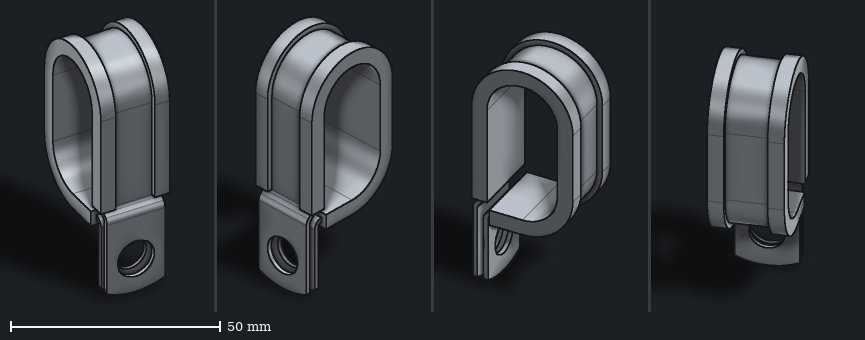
import cadquery as cq
import math


cushion_width = 18.95
cushion_thickness = 4.25
loop_radius = 13.8
straight_height = 19.0
foot_end_x = 8.95
leg_end_z = -7.6
groove_width = 10.8

strap_width = 16.0
strap_thickness = 1.25
cover = (cushion_thickness - strap_thickness) / 2
strap_outer_radius = loop_radius - cover
strap_inner_radius = strap_outer_radius - strap_thickness

overall_height = 65.3
tab_bottom_z = straight_height + loop_radius - overall_height
inner_tab_x = 11.3
outer_tab_x = 14.2
bend_outer_radius = inner_tab_x - foot_end_x
bend_inner_radius = bend_outer_radius - strap_thickness
jog_angle = math.radians(45)
overlap = 0.65
inner_hole_diameter = 8.8
outer_hole_diameter = 10.0
tab_hole_height = 9.4
tip_rise = 1.7


def loop_band(outer_radius, inner_radius, width):
    """Band around the loop, from the end of the foot to the end of the leg."""
    diagonal = math.sqrt(0.5)
    return (
        cq.Workplane("XZ")
        .moveTo(foot_end_x, -outer_radius)
        .lineTo(0, -outer_radius)
        .threePointArc((-outer_radius * diagonal, -outer_radius * diagonal), (-outer_radius, 0))
        .lineTo(-outer_radius, straight_height)
        .threePointArc((0, straight_height + outer_radius), (outer_radius, straight_height))
        .lineTo(outer_radius, leg_end_z)
        .lineTo(inner_radius, leg_end_z)
        .lineTo(inner_radius, straight_height)
        .threePointArc((0, straight_height + inner_radius), (-inner_radius, straight_height))
        .lineTo(-inner_radius, 0)
        .threePointArc((-inner_radius * diagonal, -inner_radius * diagonal), (0, -inner_radius))
        .lineTo(foot_end_x, -inner_radius)
        .close()
        .extrude(width / 2, both=True)
    )


def inner_tab():
    """Strap end that leaves the foot and bends straight down."""
    bend_z = -strap_inner_radius - bend_outer_radius
    return (
        cq.Workplane("XZ")
        .moveTo(foot_end_x - overlap, -strap_outer_radius)
        .lineTo(foot_end_x - overlap, -strap_inner_radius)
        .lineTo(foot_end_x, -strap_inner_radius)
        .tangentArcPoint((inner_tab_x, bend_z), relative=False)
        .lineTo(inner_tab_x, tab_bottom_z)
        .lineTo(inner_tab_x - strap_thickness, tab_bottom_z)
        .lineTo(inner_tab_x - strap_thickness, bend_z)
        .tangentArcPoint((foot_end_x, bend_z + bend_inner_radius), relative=False)
        .close()
        .extrude(strap_width / 2, both=True)
    )


def outer_tab():
    """Strap end that leaves the leg, jogs outward on a slope and runs down."""
    inner_dx = bend_inner_radius * (1 - math.cos(jog_angle))
    inner_dz = bend_inner_radius * math.sin(jog_angle)
    outer_dx = bend_outer_radius * (1 - math.cos(jog_angle))
    outer_dz = bend_outer_radius * math.sin(jog_angle)
    shift = outer_tab_x - strap_outer_radius
    slope_height = (shift - inner_dx - outer_dx) / math.tan(jog_angle)
    jog_end_z = leg_end_z - inner_dz - slope_height - outer_dz
    left_x = outer_tab_x - strap_thickness
    return (
        cq.Workplane("XZ")
        .moveTo(left_x, tab_bottom_z)
        .lineTo(left_x, jog_end_z)
        .tangentArcPoint((left_x - inner_dx, jog_end_z + inner_dz), relative=False)
        .lineTo(strap_inner_radius + outer_dx, leg_end_z - outer_dz)
        .tangentArcPoint((strap_inner_radius, leg_end_z), relative=False)
        .lineTo(strap_inner_radius, leg_end_z + overlap)
        .lineTo(strap_outer_radius, leg_end_z + overlap)
        .lineTo(strap_outer_radius, leg_end_z)
        .tangentArcPoint((strap_outer_radius + inner_dx, leg_end_z - inner_dz), relative=False)
        .lineTo(outer_tab_x - outer_dx, jog_end_z + outer_dz)
        .tangentArcPoint((outer_tab_x, jog_end_z), relative=False)
        .lineTo(outer_tab_x, tab_bottom_z)
        .close()
        .extrude(strap_width / 2, both=True)
    )


def tab_outline(hole_diameter):
    """Solid along X whose outline rounds the tab tip and leaves out the bolt hole."""
    half_width = strap_width / 2
    corner_z = tab_bottom_z + tip_rise
    return (
        cq.Workplane("YZ")
        .moveTo(-half_width, leg_end_z + overlap)
        .lineTo(-half_width, corner_z)
        .threePointArc((0, tab_bottom_z), (half_width, corner_z))
        .lineTo(half_width, leg_end_z + overlap)
        .close()
        .moveTo(0, tab_bottom_z + tab_hole_height)
        .circle(hole_diameter / 2)
        .extrude(outer_tab_x)
    )


cushion = loop_band(loop_radius, loop_radius - cushion_thickness, cushion_width)
groove = loop_band(loop_radius, strap_outer_radius, groove_width)
trimmed_inner_tab = inner_tab().intersect(tab_outline(inner_hole_diameter))
trimmed_outer_tab = outer_tab().intersect(tab_outline(outer_hole_diameter))

result = cushion.cut(groove).union(trimmed_inner_tab).union(trimmed_outer_tab)